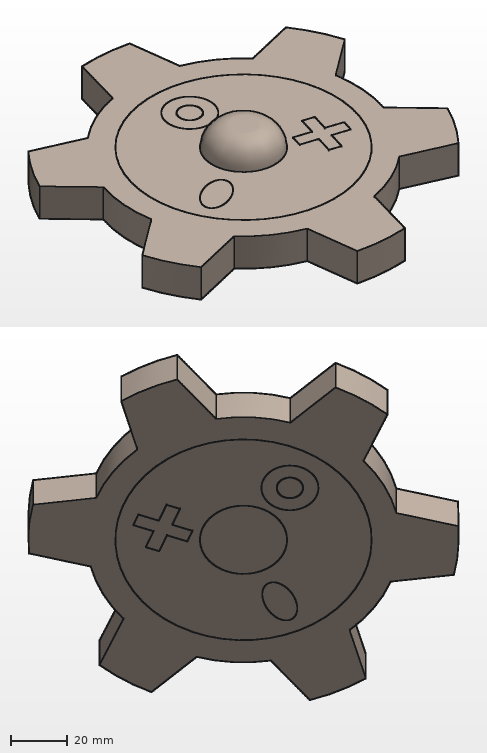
import cadquery as cq
import math

PLATE_HEIGHT = 14.0
TOOTH_COUNT = 6
TIP_RADIUS = 76.2
ROOT_RADIUS = 55.5
TOOTH_TILT = -2.4
TIP_HALF_ANGLE = 8.35
ROOT_HALF_ANGLE = 16.3

DISC_DIAMETER = 90.7
FIT_GAP = 0.08
DOT_GAP = 0.2

KNOB_DIAMETER = 30.8
DOME_HEIGHT = 9.9

RING_CENTRE = (-24.5, 14.8)
RING_DIAMETER = 20.1
RING_HOLE_DIAMETER = 9.5
DOT_DIAMETER = RING_HOLE_DIAMETER - 2 * DOT_GAP

CROSS_CENTRE = (24.0, 16.5)
CROSS_LENGTH = 20.4
CROSS_WIDTH = 5.0
CROSS_ANGLE = 45.0

OVAL_CENTRE = (-0.5, -30.6)
OVAL_WIDTH = 10.8
OVAL_LENGTH = 18.1


def polar(radius, degrees):
    angle = math.radians(degrees)
    return (radius * math.cos(angle), radius * math.sin(angle))


def cylinder(diameter, centre=(0, 0)):
    """Round body through the full plate height."""
    return cq.Workplane().center(*centre).circle(diameter / 2).extrude(PLATE_HEIGHT)


def cross_shape(gap=0.0):
    """Diagonal cross, grown outwards by the gap."""
    length = CROSS_LENGTH + 2 * gap
    width = CROSS_WIDTH + 2 * gap
    first_bar = cq.Workplane().rect(length, width).extrude(PLATE_HEIGHT)
    second_bar = cq.Workplane().rect(width, length).extrude(PLATE_HEIGHT)
    cross = first_bar.union(second_bar)
    return cross.rotate((0, 0, 0), (0, 0, 1), CROSS_ANGLE).translate((*CROSS_CENTRE, 0))


def oval_shape(gap=0.0):
    """Elliptical plug, grown outwards by the gap."""
    half_width = OVAL_WIDTH / 2 + gap
    half_length = OVAL_LENGTH / 2 + gap
    return cq.Workplane().center(*OVAL_CENTRE).ellipse(half_width, half_length).extrude(PLATE_HEIGHT)


def make_gear():
    """Toothed wheel with tapered teeth, arc-shaped tips and roots, and a round bore."""
    pitch = 360.0 / TOOTH_COUNT
    first_centre = 90.0 + TOOTH_TILT
    outline = cq.Workplane().moveTo(*polar(ROOT_RADIUS, first_centre - ROOT_HALF_ANGLE))
    for tooth in range(TOOTH_COUNT):
        centre = first_centre + tooth * pitch
        next_root = centre + pitch - ROOT_HALF_ANGLE
        outline = (
            outline.lineTo(*polar(TIP_RADIUS, centre - TIP_HALF_ANGLE))
            .threePointArc(polar(TIP_RADIUS, centre), polar(TIP_RADIUS, centre + TIP_HALF_ANGLE))
            .lineTo(*polar(ROOT_RADIUS, centre + ROOT_HALF_ANGLE))
            .threePointArc(polar(ROOT_RADIUS, centre + pitch / 2), polar(ROOT_RADIUS, next_root))
        )
    return outline.close().extrude(PLATE_HEIGHT).cut(cylinder(DISC_DIAMETER + 2 * FIT_GAP))


def make_disc():
    """Face disc with one through opening for each inserted body."""
    return (
        cylinder(DISC_DIAMETER)
        .cut(cylinder(KNOB_DIAMETER + 2 * FIT_GAP))
        .cut(cylinder(RING_DIAMETER + 2 * FIT_GAP, RING_CENTRE))
        .cut(cross_shape(FIT_GAP))
        .cut(oval_shape(FIT_GAP))
    )


def make_knob():
    """Round stem whose top edge is rounded down to the plate surface."""
    stem = cq.Workplane().circle(KNOB_DIAMETER / 2).extrude(PLATE_HEIGHT + DOME_HEIGHT)
    return stem.faces(">Z").edges().fillet(DOME_HEIGHT)


def make_ring():
    return cylinder(RING_DIAMETER, RING_CENTRE).cut(cylinder(RING_HOLE_DIAMETER, RING_CENTRE))


gear = make_gear()
disc = make_disc()
knob = make_knob()
ring = make_ring()
dot = cylinder(DOT_DIAMETER, RING_CENTRE)
cross = cross_shape()
oval = oval_shape()

result = cq.Compound.makeCompound(
    [gear.val(), disc.val(), knob.val(), ring.val(), dot.val(), cross.val(), oval.val()]
)